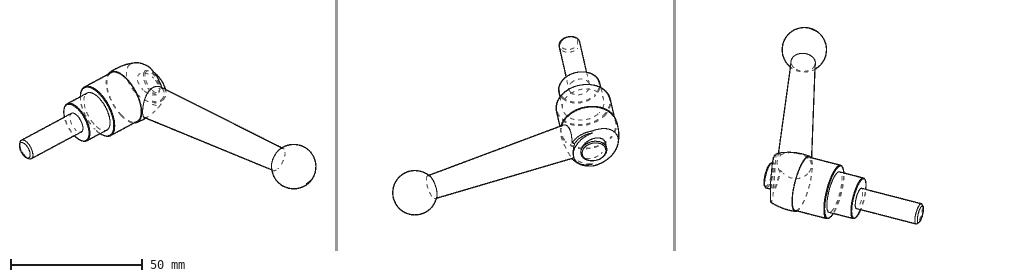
import cadquery as cq
import math


pin_diameter = 8.0
pin_end_y = -48.1
pin_chamfer = 0.7
stub_diameter = 16.0
stub_end_y = -23.1
hub_diameter = 21.0
hub_end_y = -13.1
edge_chamfer = 0.3

cap_diameter = 22.0
cap_widest_y = 2.7
cap_dome_radius = 22.6
cap_shoulder_y = 11.9
cap_neck_diameter = 16.0
cap_blank_height = 18.05
slant_angle = 15
slant_y_on_axis = 11.8

head_diameter = 10.0
head_top_y = 13.8
head_chamfer = 0.45

ball_diameter = 17.0
ball_x = 90.25 - (cap_diameter + ball_diameter) / 2
ball_y = 26.2
arm_angle = 17.5
arm_root_diameter = 13.8
arm_tip_diameter = 8.75


def shaft(diameter, start_y, end_y):
    """Cylinder on the Y axis between two Y positions."""
    plane = cq.Plane(origin=(0, start_y, 0), xDir=(1, 0, 0), normal=(0, 1, 0))
    return cq.Workplane(plane).circle(diameter / 2).extrude(end_y - start_y)


def make_cap():
    """Domed cap with a narrower neck above its shoulder, cut off by a slanted plane."""
    widest_radius = cap_diameter / 2

    def dome_point(y):
        drop = cap_dome_radius - math.sqrt(cap_dome_radius**2 - (y - cap_widest_y) ** 2)
        return widest_radius - drop, y

    neck_radius = cap_neck_diameter / 2
    blank = (
        cq.Workplane("XY")
        .lineTo(*dome_point(0))
        .threePointArc(dome_point(cap_widest_y), dome_point(cap_shoulder_y))
        .lineTo(neck_radius, cap_shoulder_y)
        .lineTo(neck_radius, cap_blank_height)
        .lineTo(0, cap_blank_height)
        .close()
        .revolve(360, (0, 0, 0), (0, 1, 0))
    )
    cutter_size = 3 * cap_diameter
    cutter = (
        cq.Workplane("XY")
        .box(cutter_size, cutter_size, cutter_size, centered=(True, False, True))
        .rotate((0, 0, 0), (0, 0, 1), slant_angle)
        .translate((0, slant_y_on_axis, 0))
    )
    return blank.cut(cutter)


def make_arm():
    """Cone running from the screw axis to the ball centre."""
    slope = math.radians(arm_angle)
    direction = cq.Vector(math.cos(slope), math.sin(slope), 0)
    length = ball_x / math.cos(slope)
    root = cq.Vector(0, ball_y - ball_x * math.tan(slope), 0)
    cone = cq.Solid.makeCone(arm_root_diameter / 2, arm_tip_diameter / 2, length, root, direction)
    return cq.Workplane(cone)


pin = shaft(pin_diameter, pin_end_y, 0).faces("<Y").chamfer(pin_chamfer)
stub = shaft(stub_diameter, stub_end_y, 0).faces("<Y").chamfer(edge_chamfer)
hub = shaft(hub_diameter, hub_end_y, 0).faces("<Y").chamfer(edge_chamfer)
head = shaft(head_diameter, 0, head_top_y).faces(">Y").chamfer(head_chamfer)
ball = cq.Workplane("XY").sphere(ball_diameter / 2).translate((ball_x, ball_y, 0))

result = make_cap()
for piece in (hub, stub, pin, head, make_arm(), ball):
    result = result.union(piece)